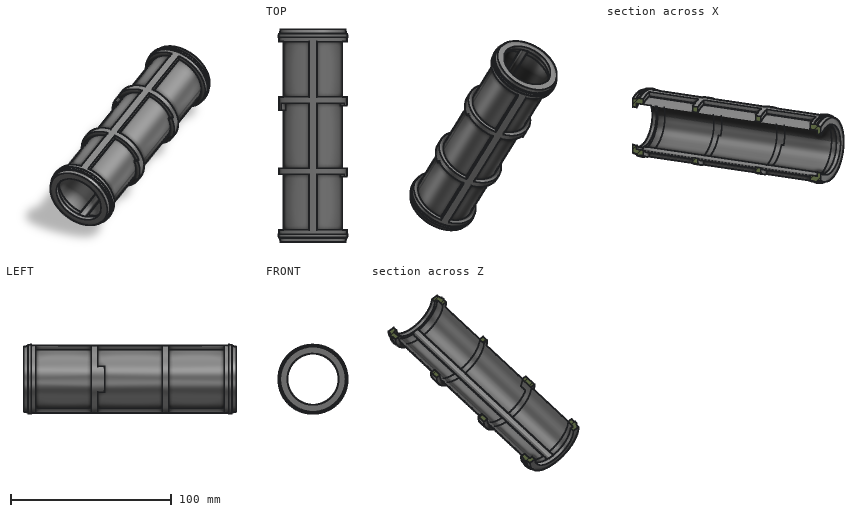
import cadquery as cq
import math

length = 132.59
body_diameter = 36.83
body_wall = 0.508
ring_diameter = 42.42

opening_diameter = 31.75
inner_lip_length = 2.85

collar_length = 7.66
ridge_diameter = 43.31
ridge_distance = 4.85
shoulder_diameter = 42.9
shoulder_distance = 2.95
lip_end_diameter = 40.6
lip_root_diameter = 41.6
lip_root_distance = 2.54

ring_outer_distance = 42.16
ring_width = 3.95

rib_width = 5.08

pad_half_angle = 22.5
long_pad_extension = 4.45
short_pad_extension = 1.55

half_length = length / 2
body_radius = body_diameter / 2
inner_radius = body_radius - body_wall
opening_radius = opening_diameter / 2
ring_radius = ring_diameter / 2


def tube_segment(outer_radius, y_start, y_end):
    """Hollow cylinder along Y with the wide bore."""
    return (
        cq.Workplane("XZ", origin=(0, y_end, 0))
        .circle(outer_radius)
        .circle(inner_radius)
        .extrude(y_end - y_start)
    )


def end_collar():
    """Collar at the +Y end: tapered lip, shoulder and ridge outside, narrow opening inside."""
    lip_root_y = half_length - lip_root_distance
    shoulder_y = half_length - shoulder_distance
    ridge_y = half_length - ridge_distance
    collar_y = half_length - collar_length
    inner_lip_y = half_length - inner_lip_length
    profile = [
        (opening_radius, half_length),
        (lip_end_diameter / 2, half_length),
        (lip_root_diameter / 2, lip_root_y),
        (shoulder_diameter / 2, shoulder_y),
        (ridge_diameter / 2, ridge_y),
        (ring_radius, ridge_y),
        (ring_radius, collar_y),
        (inner_radius, collar_y),
        (inner_radius, inner_lip_y),
        (opening_radius, inner_lip_y),
    ]
    return cq.Workplane("XY").polyline(profile).close().revolve(360, (0, 0, 0), (0, 1, 0))


def ribs():
    """Top and bottom ribs, flush with the rings outside and half-round inside the bore."""
    rib_length = length - 2 * inner_lip_length
    rib_end = rib_length / 2
    slab = cq.Workplane("XY").box(rib_width, rib_length, ring_diameter)
    outer_part = slab.intersect(tube_segment(ring_radius, -rib_end, rib_end))
    inner_rods = (
        cq.Workplane("XZ", origin=(0, rib_end, 0))
        .pushPoints([(0, body_radius), (0, -body_radius)])
        .circle(rib_width / 2)
        .extrude(rib_length)
    )
    return outer_part.union(inner_rods)


def pad(side, ring_edge, extension):
    """Arc pad on the +X (side=1) or -X (side=-1) flank, extending a ring toward -Y."""
    reach = 2 * ring_radius
    half_spread = reach * math.tan(math.radians(pad_half_angle))
    wedge = (
        cq.Workplane("XZ", origin=(0, ring_edge, 0))
        .polyline([(0, 0), (side * reach, half_spread), (side * reach, -half_spread)])
        .close()
        .extrude(extension)
    )
    return wedge.intersect(tube_segment(ring_radius, ring_edge - extension, ring_edge))


rear_ring_edge = half_length - ring_outer_distance - ring_width
front_ring_edge = -half_length + ring_outer_distance
body_end = half_length - inner_lip_length

result = tube_segment(body_radius, -body_end, body_end)
result = result.union(end_collar()).union(end_collar().mirror("XZ"))
for ring_edge in (rear_ring_edge, front_ring_edge):
    result = result.union(tube_segment(ring_radius, ring_edge, ring_edge + ring_width))
    result = result.union(pad(1, ring_edge, short_pad_extension))
result = result.union(pad(-1, rear_ring_edge, long_pad_extension))
result = result.union(ribs())